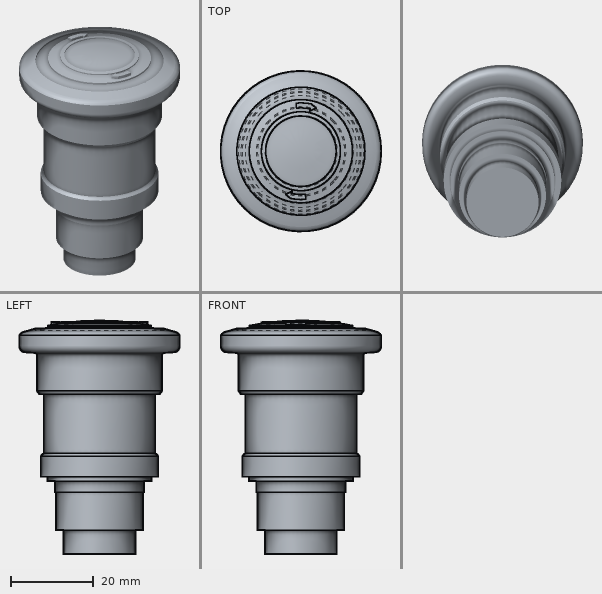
import cadquery as cq
import math

total_height = 56.39

stem_steps = [(8.7, 5.75), (10.5, 14.9), (10.8, 17.6), (12.6, 18.65)]

sleeve_bottom = stem_steps[-1][1]
sleeve_radius = 13.5
sleeve_collar_radius = 14.2
sleeve_collar_height = 5.0
sleeve_collar_chamfer = sleeve_collar_radius - sleeve_radius

skirt_bottom = 38.5
skirt_radius = 15.1
skirt_chamfer_width = 0.6
skirt_chamfer_height = 0.9
skirt_top = 47.95
neck_fillet = 0.55
underside_radius = 17.9
underside_height = 48.65
head_radius = 19.4
head_edge_bottom = 50.25
head_edge_top = 52.75
crown_radius = 18.3

dome_radius = 62.0
dome_center = total_height - dome_radius
recess_radius = 15.46
label_thickness = 0.4

label_radius = 12.45
ring_inner_radius = 8.5
ring_outer_radius = 9.53
ring_height = 0.3
arrow_top = 56.0
arrow_outer_radius = 11.66
arrow_inner_radius = 10.45
arrow_barb_radius = 9.9
arrow_tip_radius = 11.05
arrow_tail_angle = 95.8
arrow_neck_angle = 77.7
arrow_tip_angle = 70.4


def dome_height(radius, offset=0.0):
    """Height of the dome at a distance from the axis, on a sphere grown by offset."""
    return dome_center + math.sqrt((dome_radius + offset) ** 2 - radius ** 2)


def polar(radius, angle):
    """Point in the XY plane at a radius and an angle in degrees."""
    return (radius * math.cos(math.radians(angle)), radius * math.sin(math.radians(angle)))


def dome_arc(profile, start_radius, end_radius, offset=0.0):
    """Continue a half profile along the dome from start_radius to end_radius."""
    middle_radius = (start_radius + end_radius) / 2
    return profile.threePointArc(
        (middle_radius, dome_height(middle_radius, offset)),
        (end_radius, dome_height(end_radius, offset)),
    )


def revolve(profile):
    """Close a half profile in the XZ plane and turn it around Z."""
    return profile.close().revolve(360, (0, 0, 0), (0, 1, 0))


def dome_shell(inner_radius, outer_radius, bottom_offset, top_offset):
    """Ring or disc bounded below and above by spheres concentric with the dome."""
    profile = cq.Workplane("XZ").moveTo(inner_radius, dome_height(inner_radius, bottom_offset))
    profile = dome_arc(profile, inner_radius, outer_radius, bottom_offset)
    profile = profile.lineTo(outer_radius, dome_height(outer_radius, top_offset))
    profile = dome_arc(profile, outer_radius, inner_radius, top_offset)
    return revolve(profile)


def make_stem():
    profile = cq.Workplane("XZ").moveTo(0, 0)
    step_bottom = 0
    for radius, step_top in stem_steps:
        profile = profile.lineTo(radius, step_bottom).lineTo(radius, step_top)
        step_bottom = step_top
    return revolve(profile.lineTo(0, step_bottom))


def make_sleeve():
    collar_edge = sleeve_bottom + sleeve_collar_height
    profile = (
        cq.Workplane("XZ")
        .moveTo(0, sleeve_bottom)
        .lineTo(sleeve_collar_radius, sleeve_bottom)
        .lineTo(sleeve_collar_radius, collar_edge)
        .lineTo(sleeve_radius, collar_edge + sleeve_collar_chamfer)
        .lineTo(sleeve_radius, skirt_bottom)
        .lineTo(0, skirt_bottom)
    )
    return revolve(profile)


def make_head():
    profile = cq.Workplane("XZ").moveTo(0, dome_height(0, -label_thickness))
    profile = dome_arc(profile, 0, recess_radius, -label_thickness)
    profile = profile.lineTo(recess_radius, dome_height(recess_radius))
    profile = dome_arc(profile, recess_radius, crown_radius)
    profile = (
        profile
        .tangentArcPoint((head_radius, head_edge_top), relative=False)
        .lineTo(head_radius, head_edge_bottom)
        .tangentArcPoint((underside_radius, underside_height), relative=False)
        .lineTo(skirt_radius + neck_fillet, skirt_top + neck_fillet)
        .tangentArcPoint((skirt_radius, skirt_top), relative=False)
        .lineTo(skirt_radius, skirt_bottom + skirt_chamfer_height)
        .lineTo(skirt_radius - skirt_chamfer_width, skirt_bottom)
        .lineTo(0, skirt_bottom)
    )
    return revolve(profile)


def make_arrow(turn):
    """Curved arrow with a flat top and one inner barb, rooted inside the label thickness."""
    label_top = dome_height(arrow_outer_radius)
    label_underside = dome_height(arrow_barb_radius, -label_thickness)
    root = (label_top + label_underside) / 2
    middle_angle = (arrow_tail_angle + arrow_neck_angle) / 2
    return (
        cq.Workplane("XY", origin=(0, 0, root))
        .moveTo(*polar(arrow_outer_radius, arrow_tail_angle))
        .threePointArc(
            polar(arrow_outer_radius, middle_angle), polar(arrow_outer_radius, arrow_neck_angle)
        )
        .lineTo(*polar(arrow_tip_radius, arrow_tip_angle))
        .lineTo(*polar(arrow_barb_radius, arrow_neck_angle))
        .lineTo(*polar(arrow_inner_radius, arrow_neck_angle))
        .threePointArc(
            polar(arrow_inner_radius, middle_angle), polar(arrow_inner_radius, arrow_tail_angle)
        )
        .close()
        .extrude(arrow_top - root)
        .rotate((0, 0, 0), (0, 0, 1), turn)
    )


def make_label():
    label = dome_shell(0, label_radius, -label_thickness, 0)
    label = label.union(dome_shell(ring_inner_radius, ring_outer_radius, -label_thickness / 2, ring_height))
    for turn in (0, 180):
        label = label.union(make_arrow(turn))
    return label.solids()


stem = make_stem()
sleeve = make_sleeve()
head = make_head()
label = make_label()

result = cq.Compound.makeCompound([stem.val(), sleeve.val(), head.val(), label.val()])